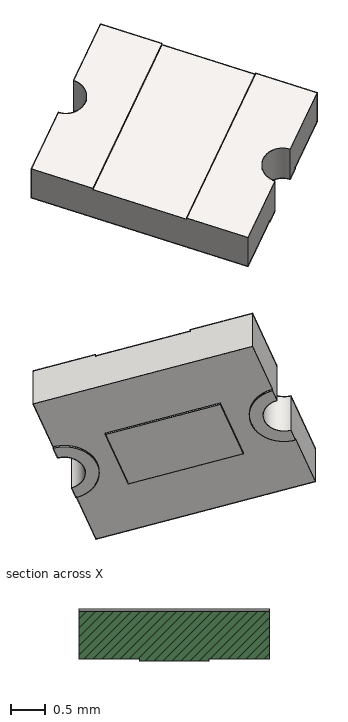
import cadquery as cq

body_length = 3.34
body_width = 2.74
total_height = 0.75

top_recess_depth = 0.03
top_recess_length = 1.44
pad_thickness = 0.03

notch_radius = 0.3
ring_pad_radius = 0.5

middle_pad_length = 1.75
middle_pad_width = 2 * ring_pad_radius

end_positions = [(-body_length / 2, 0), (body_length / 2, 0)]


def make_body():
    """Block standing on the pads, with its lowest face at Z = pad_thickness."""
    return (
        cq.Workplane("XY")
        .workplane(offset=pad_thickness)
        .rect(body_length, body_width)
        .extrude(total_height - pad_thickness)
    )


def make_top_recess():
    """Shallow channel across the full width, leaving a raised terminal at each end."""
    return (
        cq.Workplane("XY")
        .workplane(offset=total_height - top_recess_depth)
        .rect(top_recess_length, body_width)
        .extrude(top_recess_depth)
    )


def make_ring_pads():
    """Round pads centred on the end faces, trimmed flush with the ends."""
    discs = cq.Workplane("XY").pushPoints(end_positions).circle(ring_pad_radius).extrude(pad_thickness)
    footprint = cq.Workplane("XY").rect(body_length, body_width).extrude(pad_thickness)
    return discs.intersect(footprint)


def make_middle_pad():
    """Rectangular pad centred under the body."""
    return cq.Workplane("XY").rect(middle_pad_length, middle_pad_width).extrude(pad_thickness)


def make_notches():
    """Full-height cylinders that cut a half-round notch into each end and its pad."""
    return cq.Workplane("XY").pushPoints(end_positions).circle(notch_radius).extrude(total_height)


result = (
    make_body()
    .cut(make_top_recess())
    .union(make_ring_pads())
    .union(make_middle_pad())
    .cut(make_notches())
)